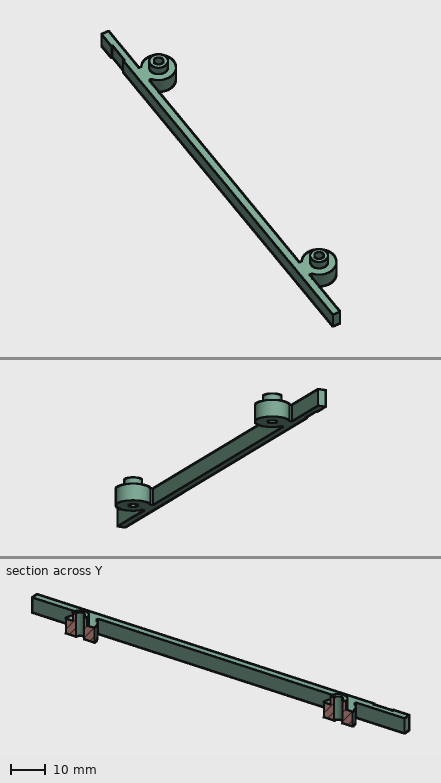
import cadquery as cq

length = 128.5
bar_thickness = 2.5
bar_height = 5.0

recess_start = 5.5
recess_length = 6.5
recess_depth = 0.4

overall_depth = 12.3
overall_height = 7.7
lug_diameter = 10.0
lug_y = overall_depth - lug_diameter / 2
first_lug_x = 19.7
lug_spacing = 89.0
neck_width = 5.8
first_pin_diameter = 5.4
second_pin_diameter = 5.1
hole_diameter = 2.7


def make_bar():
    """Straight bar with its front face on Y = 0 and its underside on Z = 0."""
    bar = cq.Workplane("XY").box(length, bar_thickness, bar_height, centered=False)
    recess = (
        cq.Workplane("XY")
        .box(recess_length, recess_depth, bar_height, centered=False)
        .translate((recess_start, 0, 0))
    )
    return bar.cut(recess)


def make_lug(x, pin_diameter):
    """Disc joined to the bar by a straight neck, carrying a pin."""
    center = cq.Workplane("XY").center(x, lug_y)
    disc = center.circle(lug_diameter / 2).extrude(bar_height)
    pin = center.circle(pin_diameter / 2).extrude(overall_height)
    neck_length = lug_y - bar_thickness
    neck = (
        cq.Workplane("XY")
        .center(x, bar_thickness + neck_length / 2)
        .rect(neck_width, neck_length)
        .extrude(bar_height)
    )
    return disc.union(neck).union(pin)


def make_hole(x):
    """Bore through the pin and the lug."""
    return cq.Workplane("XY").center(x, lug_y).circle(hole_diameter / 2).extrude(overall_height)


second_lug_x = first_lug_x + lug_spacing
lugs = (
    (first_lug_x, first_pin_diameter),
    (second_lug_x, second_pin_diameter),
)

result = make_bar()
for lug_x, lug_pin_diameter in lugs:
    result = result.union(make_lug(lug_x, lug_pin_diameter)).cut(make_hole(lug_x))